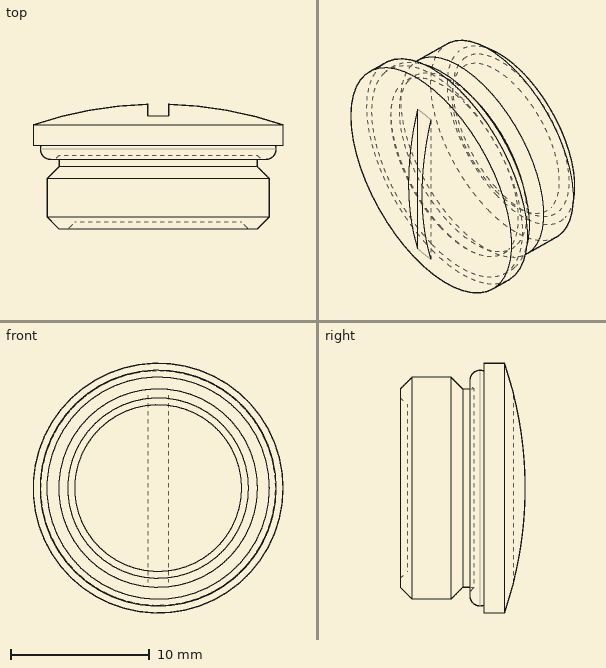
import cadquery as cq

flange_diameter = 18.0
seal_diameter = 17.0
body_diameter = 16.0
neck_diameter = 14.3
recess_mouth_diameter = 13.0
recess_floor_diameter = 12.0
recess_depth = 0.5

total_length = 9.0
body_length = 4.5
neck_length = 0.5
seal_section_diameter = 1.5
seal_exposed_length = 1.0
flange_thickness = 1.5

slot_width = 1.5
slot_depth = 0.85

front_y = -total_length / 2
dome_top_y = total_length / 2
body_back_y = front_y + body_length
seal_front_y = body_back_y + neck_length
flange_front_y = seal_front_y + seal_exposed_length
flange_back_y = flange_front_y + flange_thickness
body_chamfer = (body_diameter - neck_diameter) / 2

dome_height = dome_top_y - flange_back_y
flange_radius = flange_diameter / 2
dome_radius = (flange_radius**2 + dome_height**2) / (2 * dome_height)


def dome_point(radius):
    """Point of the dome profile at the given distance from the axis."""
    return radius, dome_top_y - dome_radius + (dome_radius**2 - radius**2) ** 0.5


def make_plug():
    """Solid of revolution: recessed body, neck and domed flange."""
    profile = (
        cq.Workplane("XY")
        .moveTo(0, front_y + recess_depth)
        .lineTo(recess_floor_diameter / 2, front_y + recess_depth)
        .lineTo(recess_mouth_diameter / 2, front_y)
        .lineTo(neck_diameter / 2, front_y)
        .lineTo(body_diameter / 2, front_y + body_chamfer)
        .lineTo(body_diameter / 2, body_back_y - body_chamfer)
        .lineTo(neck_diameter / 2, body_back_y)
        .lineTo(neck_diameter / 2, flange_front_y)
        .lineTo(flange_radius, flange_front_y)
        .lineTo(flange_radius, flange_back_y)
        .threePointArc(dome_point(flange_radius / 2), (0, dome_top_y))
        .close()
    )
    return profile.revolve(360, (0, 0, 0), (0, 1, 0))


def make_seal():
    """O-ring seated on the neck and partly sunk into the front of the flange."""
    section_radius = seal_section_diameter / 2
    section = cq.Workplane("XY").center(seal_diameter / 2 - section_radius, seal_front_y + section_radius)
    return section.circle(section_radius).revolve(
        360,
        (section_radius - seal_diameter / 2, 0, 0),
        (section_radius - seal_diameter / 2, 1, 0),
    )


def make_slot():
    """Screwdriver slot running along Z across the dome."""
    cutter = cq.Workplane("XY").box(slot_width, 2 * slot_depth, flange_diameter)
    return cutter.translate((0, dome_top_y, 0))


result = make_plug().union(make_seal()).cut(make_slot())